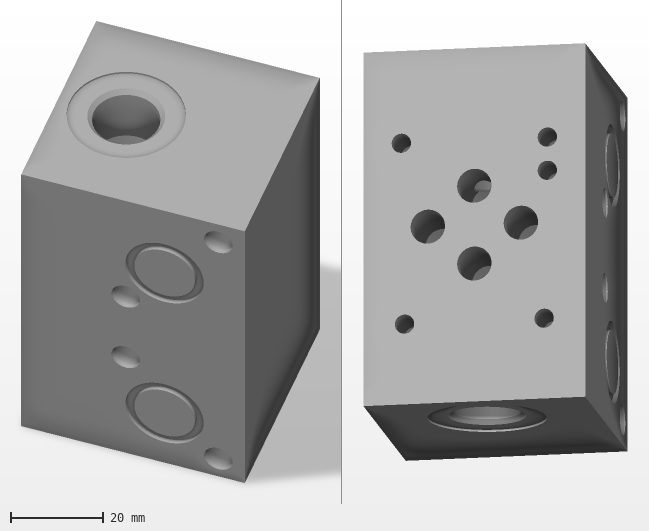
import cadquery as cq
import math

LENGTH_X = 51.5
WIDTH_Y = 49
HEIGHT_Z = 79
MID_Y = WIDTH_Y / 2
MID_Z = HEIGHT_Z / 2

MOUNT_DIAMETER = 6.55
OUTER_MOUNT_X = 45.4
OUTER_MOUNT_OFFSET_Z = 34
INNER_MOUNT_X = 24.1
INNER_MOUNT_OFFSET_Z = 9.5

GROOVE_OUTER_DIAMETER = 18.0
GROOVE_INNER_DIAMETER = 14.0
GROOVE_DEPTH = 1.0
GROOVE_X = 33.0
GROOVE_HEIGHTS = (15.6, 59.5)

DRILL_TIP_ANGLE = 118
PORT_DIAMETER = 7.6
PORT_DEPTH = 18.2
PORT_OFFSET_Y = 10.3
PORT_OFFSET_Z = 8.7
SCREW_DIAMETER = 4.3
SCREW_DEPTH = 11.85
UPPER_SCREW_OFFSET_Y = 16.1
LOWER_SCREW_OFFSET_Y = 15.4
UPPER_SCREW_Z = 58.4
LOWER_SCREW_Z = 17.9
LOCATING_HOLE_Z = 50.95

CONNECTION_X = 15.6
SPOTFACE_DIAMETER = 25.9
SPOTFACE_DEPTH = 0.5
CHAMFER_DIAMETER = 16.9
BORE_DIAMETER = 14.85
BORE_DEPTH = 14.2
PASSAGE_DIAMETER = 9.55
PASSAGE_DEPTH = 26.85


def tip_length(diameter):
    """Height of the conical end left by a drill of this diameter."""
    return diameter / 2 / math.tan(math.radians(DRILL_TIP_ANGLE / 2))


def drilled_hole(diameter, depth, start, direction):
    """Cylinder of the given depth followed by a conical drill tip."""
    cylinder = cq.Solid.makeCylinder(diameter / 2, depth, start, direction)
    tip = cq.Solid.makeCone(diameter / 2, 0, tip_length(diameter), start + direction * depth, direction)
    return cylinder.fuse(tip)


def mounting_holes():
    points = [
        (x, MID_Z + side * offset)
        for x, offset in (
            (OUTER_MOUNT_X, OUTER_MOUNT_OFFSET_Z),
            (INNER_MOUNT_X, INNER_MOUNT_OFFSET_Z),
        )
        for side in (-1, 1)
    ]
    holes = cq.Workplane("XZ").pushPoints(points).circle(MOUNT_DIAMETER / 2)
    return holes.extrude(-WIDTH_Y)


def ring_grooves():
    points = [(GROOVE_X, z) for z in GROOVE_HEIGHTS]
    rings = cq.Workplane("XZ").pushPoints(points)
    rings = rings.circle(GROOVE_OUTER_DIAMETER / 2).circle(GROOVE_INNER_DIAMETER / 2)
    return rings.extrude(-GROOVE_DEPTH)


def connection():
    """Revolved cutter of the top connection: spotface, chamfer, bore and passage."""
    spotface_z = HEIGHT_Z - SPOTFACE_DEPTH
    chamfer_z = spotface_z - (CHAMFER_DIAMETER - BORE_DIAMETER) / 2
    bore_z = HEIGHT_Z - BORE_DEPTH
    passage_start_z = bore_z - tip_length(BORE_DIAMETER) + tip_length(PASSAGE_DIAMETER)
    passage_end_z = HEIGHT_Z - PASSAGE_DEPTH
    profile = [
        (0, HEIGHT_Z),
        (SPOTFACE_DIAMETER / 2, HEIGHT_Z),
        (SPOTFACE_DIAMETER / 2, spotface_z),
        (CHAMFER_DIAMETER / 2, spotface_z),
        (BORE_DIAMETER / 2, chamfer_z),
        (BORE_DIAMETER / 2, bore_z),
        (PASSAGE_DIAMETER / 2, passage_start_z),
        (PASSAGE_DIAMETER / 2, passage_end_z),
        (0, passage_end_z - tip_length(PASSAGE_DIAMETER)),
    ]
    cutter = cq.Workplane("XZ").polyline(profile).close().revolve(360, (0, 0, 0), (0, 1, 0))
    return cutter.translate((CONNECTION_X, MID_Y, 0))


body = cq.Workplane("XY").box(LENGTH_X, WIDTH_Y, HEIGHT_Z, centered=False)
body = body.cut(mounting_holes()).cut(ring_grooves())

top_connection = connection()
bottom_connection = top_connection.mirror("XY", (0, 0, MID_Z))
body = body.cut(top_connection).cut(bottom_connection)

inward = cq.Vector(1, 0, 0)
for offset_y, offset_z in (
    (PORT_OFFSET_Y, 0),
    (-PORT_OFFSET_Y, 0),
    (0, PORT_OFFSET_Z),
    (0, -PORT_OFFSET_Z),
):
    port_start = cq.Vector(0, MID_Y + offset_y, MID_Z + offset_z)
    body = body.cut(cq.Workplane(drilled_hole(PORT_DIAMETER, PORT_DEPTH, port_start, inward)))

for offset_y, hole_z in (
    (UPPER_SCREW_OFFSET_Y, UPPER_SCREW_Z),
    (-UPPER_SCREW_OFFSET_Y, UPPER_SCREW_Z),
    (LOWER_SCREW_OFFSET_Y, LOWER_SCREW_Z),
    (-LOWER_SCREW_OFFSET_Y, LOWER_SCREW_Z),
    (-UPPER_SCREW_OFFSET_Y, LOCATING_HOLE_Z),
):
    screw_start = cq.Vector(0, MID_Y + offset_y, hole_z)
    body = body.cut(cq.Workplane(drilled_hole(SCREW_DIAMETER, SCREW_DEPTH, screw_start, inward)))

result = body